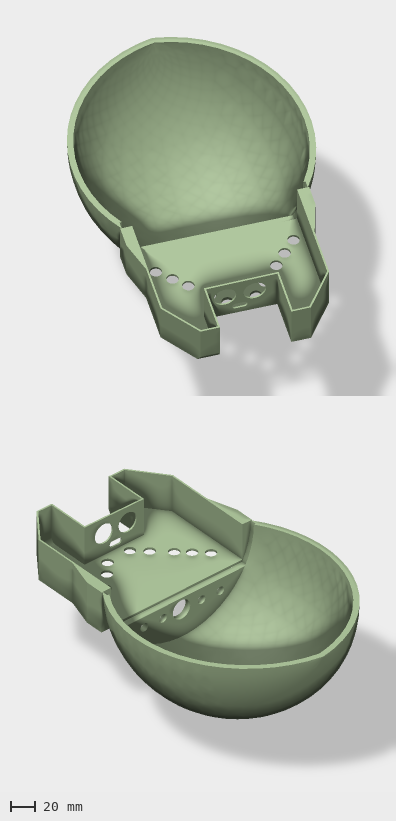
import cadquery as cq
import math

LENGTH = 304.5
BOWL_RADIUS = 100.0
WIDEST_X = 115.7
SHELL = 5.2
JOINT_X = 183.5
BULKHEAD = 6.0
OPENING_RADIUS = 78.0

BULKHEAD_HOLE_Z = -49.3
SMALL_HOLE_YS = (39.3, 19.5, -21.0, -40.8)
SMALL_HOLE_DIAMETER = 8.0
CABLE_HOLE_Y = 0.0
CABLE_HOLE_DIAMETER = 18.3

FLANGE_HALF_WIDTH = 79.2
FLANGE_END_X = 202.0
BODY_START_X = 230.0
BODY_HALF_WIDTH = 70.5
SHOULDER_X = 272.5
TIP_HALF_WIDTH = 46.3
NOTCH_HALF_WIDTH = 29.8
NOTCH_X = 263.5
WALL = 1.5
FLOOR_THICKNESS = 2.0

FLOOR_MIDDLE_Z = -38.0
FLOOR_SIDE_RISE = 1.5
DEEP = 182.7

RAMP_DEPTH_Z = -43.8
RAMP_HALF_WIDTH = 15.2
RAMP_END_X = 258.8

FLOOR_HOLE_DIAMETER = 10.0
FLOOR_HOLES = [
    (204.0, 60.3), (215.3, 49.5), (226.0, 39.5), (240.2, 26.0), (252.0, 15.2),
    (252.7, -8.8), (241.8, -20.5), (228.0, -34.7), (218.0, -45.0), (207.5, -56.0),
]

SENSOR_HOLE_DIAMETER = 19.0
SENSOR_HOLES = [(11.0, -15.2), (-14.0, -15.2)]
SLOT_CENTRE = (-1.5, -29.5)
SLOT_WIDTH = 12.8
SLOT_HEIGHT = 5.8

TIP_FILLET = 5.0
TIP_CHAMFER_X = 2.5
TIP_CHAMFER_Z = 5.0

ARC_RADIUS = (WIDEST_X**2 + BOWL_RADIUS**2) / (2 * BOWL_RADIUS)
ARC_CENTRE_R = BOWL_RADIUS - ARC_RADIUS
INNER_X = JOINT_X - BULKHEAD
FLOOR_SLOPE = FLOOR_SIDE_RISE / FLANGE_HALF_WIDTH


def above_slope(offset, start_x, end_x):
    """Block above the tilted floor plane, raised by offset, up to the rim."""
    half = BOWL_RADIUS
    low = FLOOR_MIDDLE_Z + offset
    points = [(-half, 0), (-half, low + half * FLOOR_SLOPE), (half, low - half * FLOOR_SLOPE), (half, 0)]
    return cq.Workplane("YZ", origin=(start_x, 0, 0)).polyline(points).close().extrude(end_x - start_x)


def x_cylinder(diameter, points, start_x, length):
    """Round cutters along X at (Y, Z) points."""
    return cq.Workplane("YZ", origin=(start_x, 0, 0)).pushPoints(points).circle(diameter / 2).extrude(length)


def revolved_half(arc_radius, end_x):
    """Lower half of a spindle turned about X from its nose to end_x."""
    def radius_at(x):
        return ARC_CENTRE_R + math.sqrt(arc_radius**2 - (x - WIDEST_X)**2)

    nose_x = WIDEST_X - math.sqrt(arc_radius**2 - ARC_CENTRE_R**2)
    profile = (
        cq.Workplane("XY").moveTo(nose_x, 0)
        .threePointArc((WIDEST_X, radius_at(WIDEST_X)), (end_x, radius_at(end_x)))
        .lineTo(end_x, 0)
        .close()
    )
    lower_half = cq.Workplane("XY").box(
        LENGTH, 2 * DEEP, DEEP, centered=(False, True, False)
    ).translate((0, 0, -DEEP))
    return profile.revolve(360, (0, 0), (1, 0)).intersect(lower_half)


def make_bowl():
    bowl = revolved_half(ARC_RADIUS, JOINT_X).cut(revolved_half(ARC_RADIUS - SHELL, INNER_X))
    opening = x_cylinder(2 * OPENING_RADIUS, [(0, 0)], INNER_X, BULKHEAD)
    bowl = bowl.cut(opening.intersect(above_slope(0, INNER_X, JOINT_X)))
    small_holes = [(y, BULKHEAD_HOLE_Z) for y in SMALL_HOLE_YS]
    bowl = bowl.cut(x_cylinder(SMALL_HOLE_DIAMETER, small_holes, INNER_X, BULKHEAD))
    cable_hole = [(CABLE_HOLE_Y, BULKHEAD_HOLE_Z)]
    return bowl.cut(x_cylinder(CABLE_HOLE_DIAMETER, cable_hole, INNER_X, BULKHEAD))


def mirrored_prism(half_outline):
    """Full-depth prism of an outline given for +Y and mirrored to -Y."""
    other_half = [(x, -y) for x, y in reversed(half_outline)]
    return cq.Workplane("XY").polyline(half_outline + other_half).close().extrude(-DEEP)


def tray_outline():
    return mirrored_prism([
        (JOINT_X, FLANGE_HALF_WIDTH),
        (FLANGE_END_X, FLANGE_HALF_WIDTH),
        (BODY_START_X, BODY_HALF_WIDTH),
        (SHOULDER_X, BODY_HALF_WIDTH),
        (LENGTH, TIP_HALF_WIDTH),
        (LENGTH, NOTCH_HALF_WIDTH),
        (NOTCH_X, NOTCH_HALF_WIDTH),
    ])


def tray_cavity():
    inner_width = BODY_HALF_WIDTH - WALL
    taper_slope = (BODY_HALF_WIDTH - TIP_HALF_WIDTH) / (LENGTH - SHOULDER_X)
    tip_x = LENGTH - WALL
    inner_shoulder_x = SHOULDER_X - WALL * math.tan(math.atan(taper_slope) / 2)
    notch_side = NOTCH_HALF_WIDTH + WALL
    prism = mirrored_prism([
        (JOINT_X, inner_width),
        (inner_shoulder_x, inner_width),
        (tip_x, inner_width - (tip_x - inner_shoulder_x) * taper_slope),
        (tip_x, notch_side),
        (NOTCH_X - WALL, notch_side),
    ])
    cavity = prism.intersect(above_slope(FLOOR_THICKNESS, JOINT_X, LENGTH))
    arm_middle = (TIP_HALF_WIDTH + NOTCH_HALF_WIDTH) / 2
    floor_z = FLOOR_MIDDLE_Z + FLOOR_THICKNESS - arm_middle * FLOOR_SLOPE
    edge = cq.selectors.NearestToPointSelector((tip_x, arm_middle, floor_z))
    return cavity.edges(edge).fillet(TIP_FILLET)


def floor_ramp():
    """Wedge under the floor, deepest at the joint."""
    points = [(JOINT_X, FLOOR_MIDDLE_Z), (JOINT_X, RAMP_DEPTH_Z), (RAMP_END_X, FLOOR_MIDDLE_Z)]
    wedge = cq.Workplane("XZ").polyline(points).close().extrude(RAMP_HALF_WIDTH, both=True)
    return wedge.cut(above_slope(FLOOR_THICKNESS, JOINT_X, LENGTH))


def tip_chamfer():
    """Cutter for the outer lower corner at the end of the -Y arm."""
    low = FLOOR_MIDDLE_Z + TIP_HALF_WIDTH * FLOOR_SLOPE
    points = [(LENGTH - TIP_CHAMFER_X, low), (LENGTH, low + TIP_CHAMFER_Z), (LENGTH, -DEEP),
              (LENGTH - TIP_CHAMFER_X, -DEEP)]
    return cq.Workplane("XZ").polyline(points).close().extrude(BODY_HALF_WIDTH)


def make_tray():
    tray = tray_outline().intersect(above_slope(0, JOINT_X, LENGTH))
    tray = tray.union(floor_ramp()).cut(tray_cavity()).cut(tip_chamfer())
    floor_holes = cq.Workplane("XY").pushPoints(FLOOR_HOLES).circle(FLOOR_HOLE_DIAMETER / 2).extrude(-DEEP)
    tray = tray.cut(floor_holes)
    tray = tray.cut(x_cylinder(SENSOR_HOLE_DIAMETER, SENSOR_HOLES, NOTCH_X - WALL, WALL))
    slot = (
        cq.Workplane("YZ", origin=(NOTCH_X - WALL, 0, 0))
        .center(*SLOT_CENTRE)
        .slot2D(SLOT_WIDTH, SLOT_HEIGHT)
        .extrude(WALL)
    )
    return tray.cut(slot)


bowl = make_bowl()
tray = make_tray()
result = cq.Compound.makeCompound([bowl.val(), tray.val()])